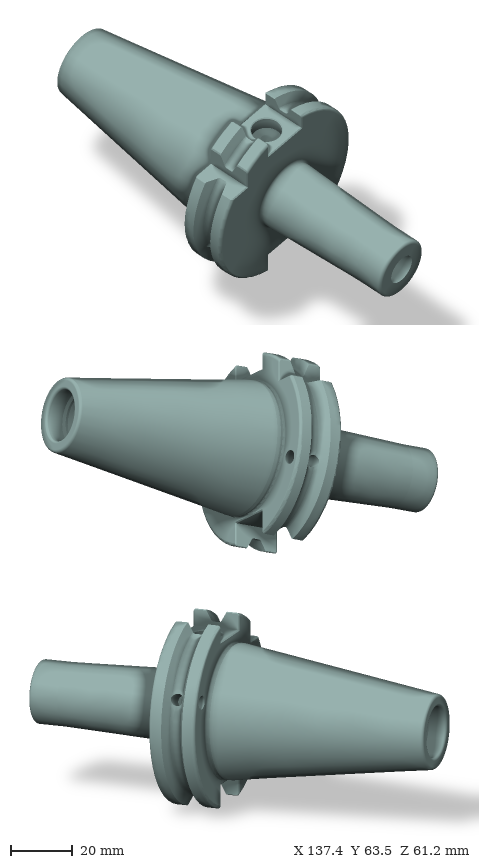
import cadquery as cq
import math


gauge_radius = 22.225
taper_length = 68.4
taper_slope = 7 / 48
tail_radius = gauge_radius - taper_length * taper_slope
tail_fillet = 1.0
collar_start = 0.35
collar_radius = gauge_radius + collar_start * taper_slope
collar_end = 1.65
relief_radius = 21.95
relief_fillet = 0.7

flange_radius = 31.75
flange_back = 3.2
flange_front = 19.1
flange_fillet = 1.0

groove_center = 11.1
groove_floor_radius = 28.125
groove_floor_half_width = 1.5
groove_half_angle = 30.0
groove_fillet = 1.0

driver_width = 16.1
upper_notch_floor = 25.0
lower_notch_floor = -22.8
notch_chamfer = 0.35
corner_notch_offset = 18.5

chip_radius = 5.0
chip_depth = 4.6
chip_mouth_chamfer = 0.3
chip_point_radius = 1.95
drill_half_angle = 59.0

nose_end = 69.0
nose_root_radius = 12.0
nose_tip_radius = 10.5
nose_cylinder_start = 59.0
nose_root_fillet = 0.8
nose_tip_fillet = 1.0

through_radius = 5.1
mouth_fillet = 0.8
counterbore_radius = 8.5
counterbore_depth = 6.1
seat_radius = 7.7
seat_depth = 7.7
throat_radius = 7.0
throat_depth = 8.8

coolant_angle = 20.0
coolant_face_radius = 26.9
coolant_radius = 2.25
coolant_tilt = 35.0
coolant_length = 10.0
plug_radius = 2.0
plug_floor_radius = 22.0


def ring_edge(body, x, radius):
    """Circular edges lying at the given station and radius."""
    reach = 0.05
    box = cq.selectors.BoxSelector(
        (x - reach, -radius - reach, -radius - reach),
        (x + reach, radius + reach, radius + reach),
        boundingbox=True,
    )
    edges = body.edges(box).vals()
    return body.newObject([e for e in edges if e.geomType() == "CIRCLE" and abs(e.radius() - radius) < reach])


def turned_body():
    outline = [
        (-taper_length, 0),
        (-taper_length, tail_radius),
        (collar_start, collar_radius),
        (collar_end, collar_radius),
        (collar_end, relief_radius),
        (flange_back, relief_radius),
        (flange_back, flange_radius),
        (flange_front, flange_radius),
        (flange_front, nose_root_radius),
        (nose_cylinder_start, nose_tip_radius),
        (nose_end, nose_tip_radius),
        (nose_end, 0),
    ]
    body = cq.Workplane("XY").polyline(outline).close().revolve(360, (0, 0, 0), (1, 0, 0))
    rounds = [
        (-taper_length, tail_radius, tail_fillet),
        (flange_back, relief_radius, relief_fillet),
        (flange_back, flange_radius, flange_fillet),
        (flange_front, flange_radius, flange_fillet),
        (flange_front, nose_root_radius, nose_root_fillet),
        (nose_end, nose_tip_radius, nose_tip_fillet),
    ]
    for x, radius, fillet in rounds:
        body = ring_edge(body, x, radius).fillet(fillet)
    return body


def v_groove():
    groove_depth = flange_radius - groove_floor_radius
    top_half_width = groove_floor_half_width + groove_depth * math.tan(math.radians(groove_half_angle))
    outline = [
        (groove_center - top_half_width, flange_radius),
        (groove_center - groove_floor_half_width, groove_floor_radius),
        (groove_center + groove_floor_half_width, groove_floor_radius),
        (groove_center + top_half_width, flange_radius),
    ]
    ring = cq.Workplane("XY").polyline(outline).close().revolve(360, (0, 0, 0), (1, 0, 0))
    for side in (-1, 1):
        floor_edge = ring_edge(ring, groove_center + side * groove_floor_half_width, groove_floor_radius)
        ring = floor_edge.fillet(groove_fillet)
    return ring


def axial_bore():
    tail = -taper_length
    seat_cone = counterbore_radius - seat_radius
    point_cone = (throat_radius - through_radius) / math.tan(math.radians(drill_half_angle))
    mouth_radius = counterbore_radius + mouth_fillet
    profile = (
        cq.Workplane("XY")
        .moveTo(tail, 0)
        .lineTo(tail, mouth_radius)
        .radiusArc((tail + mouth_fillet, counterbore_radius), -mouth_fillet)
        .lineTo(tail + counterbore_depth, counterbore_radius)
        .lineTo(tail + counterbore_depth + seat_cone, seat_radius)
        .lineTo(tail + seat_depth, seat_radius)
        .lineTo(tail + throat_depth, throat_radius)
        .lineTo(tail + throat_depth + point_cone, through_radius)
        .lineTo(nose_end, through_radius)
        .lineTo(nose_end, 0)
        .close()
    )
    return profile.revolve(360, (0, 0, 0), (1, 0, 0))


def notch(y_min, y_max, z_min, z_max):
    size = (flange_front - flange_back, y_max - y_min, z_max - z_min)
    return cq.Workplane("XY").box(*size, centered=False).translate((flange_back, y_min, z_min))


def lies_within(inside, outside):
    margin = 0.01
    return (
        inside.xmin > outside.xmin - margin
        and inside.xmax < outside.xmax + margin
        and inside.ymin > outside.ymin - margin
        and inside.ymax < outside.ymax + margin
        and inside.zmin > outside.zmin - margin
        and inside.zmax < outside.zmax + margin
    )


def is_inner_corner(edge, faces):
    """True where the edge is shared by two of the faces."""
    return sum(edge.isSame(e) for face in faces for e in face.Edges()) > 1


def cut_notches(body):
    """Cut the two driver notches and the corner notch, and chamfer their outlines."""
    half = driver_width / 2
    rim = flange_radius
    upper = notch(-half, half, upper_notch_floor, rim)
    lower = notch(-half, half, -rim, lower_notch_floor)
    corner = notch(-rim, -corner_notch_offset, corner_notch_offset, rim)
    for cutter in (upper, lower, corner):
        body = body.cut(cutter)
        box = cutter.val().BoundingBox()
        walls = [f for f in body.faces("%PLANE").vals() if lies_within(f.BoundingBox(), box)]
        inner = [e for f in walls for e in f.Edges() if is_inner_corner(e, walls)]
        outline = [e for f in walls for e in f.Edges() if not any(e.isSame(i) for i in inner)]
        body = body.newObject(outline).chamfer(notch_chamfer)
    return body


def chip_pocket():
    bottom = upper_notch_floor - chip_depth
    point = bottom - chip_point_radius / math.tan(math.radians(drill_half_angle))
    outline = [
        (0, point),
        (chip_point_radius, bottom),
        (chip_radius, bottom),
        (chip_radius, upper_notch_floor - chip_mouth_chamfer),
        (chip_radius + chip_mouth_chamfer, upper_notch_floor),
        (0, upper_notch_floor),
    ]
    pocket = cq.Workplane("XZ").polyline(outline).close().revolve(360, (0, 0, 0), (0, 1, 0))
    return pocket.translate((groove_center, 0, 0))


def coolant_drillings():
    """Inclined drilling from the flange back and the radial plug hole that meets it, on the +Y side."""
    tilt = math.radians(coolant_tilt)
    direction = cq.Vector(math.cos(tilt), -math.sin(tilt), 0)
    lead = coolant_radius * math.tan(tilt)
    entry = cq.Vector(flange_back, coolant_face_radius, 0) - direction * lead
    inclined = cq.Solid.makeCylinder(coolant_radius, coolant_length + lead, entry, direction)
    plug = cq.Solid.makeCylinder(
        plug_radius,
        flange_radius - plug_floor_radius,
        cq.Vector(groove_center, plug_floor_radius, 0),
        cq.Vector(0, 1, 0),
    )
    pair = cq.Workplane(inclined).union(cq.Workplane(plug))
    return pair.rotate((0, 0, 0), (1, 0, 0), coolant_angle)


result = cut_notches(turned_body()).cut(v_groove()).cut(axial_bore()).cut(chip_pocket())
for turn in (0, 180):
    result = result.cut(coolant_drillings().rotate((0, 0, 0), (1, 0, 0), turn))